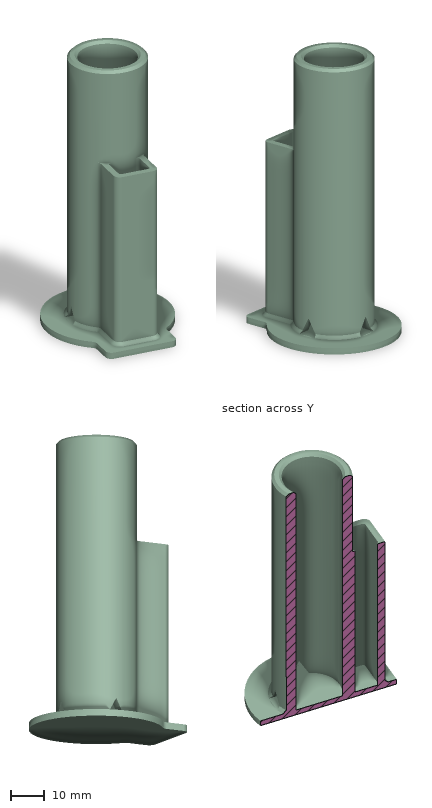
import cadquery as cq
import math

base_radius = 20.0
base_thickness = 2.0
tab_end_x = 25.3
tab_half_width = 11.4
tab_corner_radius = 2.0
tab_blend_radius = 2.0

total_height = 87.0
tube_radius = 12.0
bore_radius = 9.0

wall = 2.0
pocket_end_x = 19.5
pocket_half_width = 5.0
pocket_corner_radius = 0.8
box_height = 55.0
box_end_x = pocket_end_x + wall
box_half_width = pocket_half_width + wall
box_corner_radius = wall
box_blend_radius = 1.6

rim_chamfer = 0.8
foot_chamfer = 1.0

notch_half_width = 3.0
notch_height = 5.4
notch_reach = 12.8
notch_angles = (90, 180, 270)


def disc_with_tab(radius, end_x, half_width, corner_radius, blend_radius, height):
    """Cylinder merged with a rectangle towards +X, with rounded corners and blended sides."""
    tab = (
        cq.Workplane("XY")
        .box(end_x, 2 * half_width, height, centered=(False, True, False))
        .edges("|Z and >X")
        .fillet(corner_radius)
    )
    merged = cq.Workplane("XY").circle(radius).extrude(height).union(tab)
    junction_x = math.sqrt(radius**2 - half_width**2)
    margin = 0.1
    junctions = cq.selectors.BoxSelector(
        (junction_x - margin, -half_width - margin, 0),
        (junction_x + margin, half_width + margin, height),
    )
    return merged.edges("|Z").edges(junctions).fillet(blend_radius)


def make_base():
    return disc_with_tab(
        base_radius, tab_end_x, tab_half_width, tab_corner_radius, tab_blend_radius, base_thickness
    )


def make_tower():
    """Tube and box, still solid inside, with the chamfered rim at the top."""
    lower = disc_with_tab(
        tube_radius, box_end_x, box_half_width, box_corner_radius, box_blend_radius, box_height
    )
    tube = (
        cq.Workplane("XY")
        .circle(tube_radius)
        .extrude(total_height - base_thickness)
        .faces(">Z")
        .chamfer(rim_chamfer)
    )
    return lower.union(tube).translate((0, 0, base_thickness))


def make_bore():
    """Blind bore down to the base plate, flared at the rim."""
    rim_radius = bore_radius + rim_chamfer
    return (
        cq.Workplane("XZ")
        .moveTo(0, base_thickness)
        .lineTo(bore_radius, base_thickness)
        .lineTo(bore_radius, total_height - rim_chamfer)
        .lineTo(rim_radius, total_height)
        .lineTo(0, total_height)
        .close()
        .revolve(360, (0, 0, 0), (0, 1, 0))
    )


def make_pocket():
    """Rectangular pocket bounded by the tube on one side, down to the base plate."""
    tube = cq.Workplane("XY").circle(tube_radius).extrude(box_height)
    return (
        cq.Workplane("XY")
        .box(pocket_end_x, 2 * pocket_half_width, box_height, centered=(False, True, False))
        .cut(tube)
        .edges("|Z")
        .fillet(pocket_corner_radius)
        .translate((0, 0, base_thickness))
    )


def make_notch(angle):
    """Triangular prism running from the tube axis outwards at the given angle from +X."""
    return (
        cq.Workplane("YZ")
        .moveTo(-notch_half_width, base_thickness)
        .lineTo(notch_half_width, base_thickness)
        .lineTo(0, base_thickness + notch_height)
        .close()
        .extrude(notch_reach)
        .rotate((0, 0, 0), (0, 0, 1), angle)
    )


body = make_base().union(make_tower())

plate_top = body.faces("|Z").faces(">Z[1]").val()
foot_edges = plate_top.innerWires()[0].Edges()
body = body.newObject(foot_edges).chamfer(foot_chamfer)

body = body.cut(make_bore()).cut(make_pocket())
for notch_angle in notch_angles:
    body = body.cut(make_notch(notch_angle))

result = body